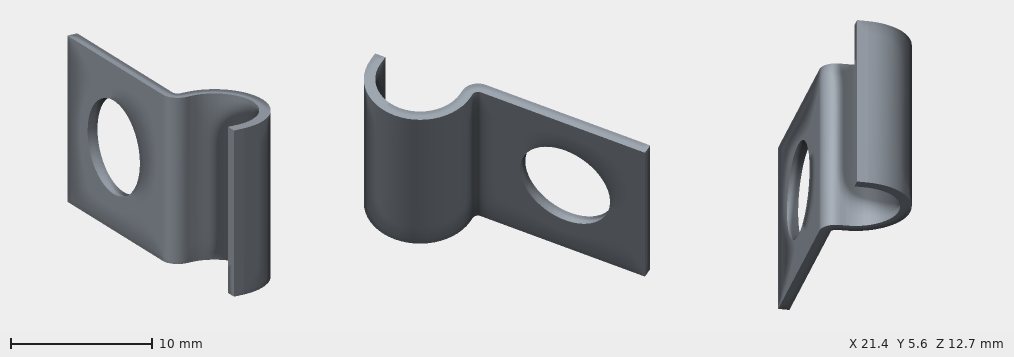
import cadquery as cq

length = 21.45
width = 12.7
thickness = 0.81
depth = 5.6
loop_outer_radius = 3.99
bend_inner_radius = 0.4
hole_diameter = 7.15

loop_inner_radius = loop_outer_radius - thickness
bend_outer_radius = bend_inner_radius + thickness
loop_x = length - loop_outer_radius
loop_y = depth - loop_outer_radius
leg_outer_x = loop_x - loop_outer_radius
leg_inner_x = loop_x - loop_inner_radius
bend_x = leg_outer_x - bend_inner_radius
bend_y = bend_outer_radius
hole_x = width / 2
hole_z = width / 2


def make_strip():
    """Bent sheet: flat tab, rounded bend, short leg and half-round loop."""
    profile = (
        cq.Workplane("XY")
        .lineTo(bend_x, 0)
        .radiusArc((leg_inner_x, bend_y), -bend_outer_radius)
        .lineTo(leg_inner_x, loop_y)
        .threePointArc((loop_x, loop_y + loop_inner_radius), (loop_x + loop_inner_radius, loop_y))
        .lineTo(loop_x + loop_inner_radius, thickness)
        .lineTo(length, thickness)
        .lineTo(length, loop_y)
        .threePointArc((loop_x, depth), (leg_outer_x, loop_y))
        .lineTo(leg_outer_x, bend_y)
        .radiusArc((bend_x, thickness), bend_inner_radius)
        .lineTo(0, thickness)
        .close()
    )
    return profile.extrude(width)


def make_screw_hole():
    """Cylinder through the flat tab along Y."""
    return (
        cq.Workplane("XZ")
        .center(hole_x, hole_z)
        .circle(hole_diameter / 2)
        .extrude(-thickness)
    )


result = make_strip().cut(make_screw_hole())